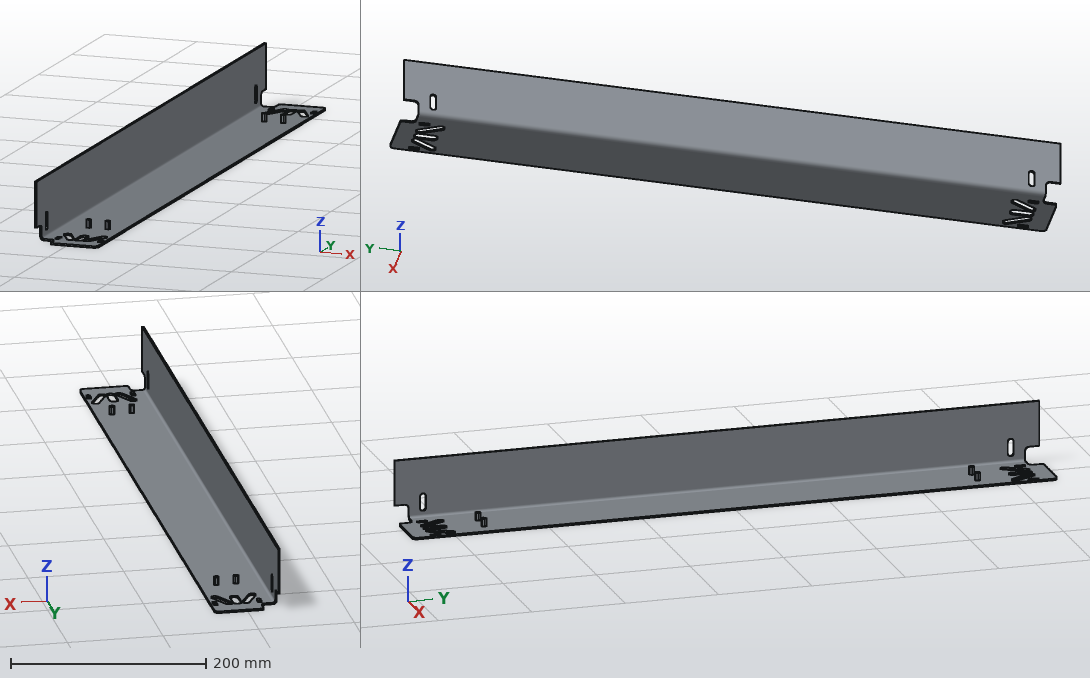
import cadquery as cq
import math

base_width = 67.5
length = 690.0
flange_height = 65.0
thickness = 2.0
bend_inner_radius = 3.0
bend_outer_radius = bend_inner_radius + thickness

notch_reach = 16.5
notch_depth = 15.0
notch_fillet = 5.0
base_corner_radius = 5.0
tongue_corner_radius = 3.0

flange_slot_end_distance = 30.5
flange_slot_width = 6.0
flange_slot_bottom = 8.0
flange_slot_top = 27.0

fan_left = 14.5
fan_right = 65.0
fan_center_x = (fan_left + fan_right) / 2
fan_start = 19.0
center_slot_width = 9.0
center_slot_length = 25.0
slanted_slot_width = 7.5
slanted_slot_reach = 27.5
slanted_slot_angle = 28.0
slanted_slot_near_offset = 9.0
small_slot_width = 4.0
small_slot_length = 11.0
small_slot_offset = (fan_right - fan_left - small_slot_width) / 2

standoff_across_flats = 5.0
standoff_hole_diameter = 3.0
standoff_top = 10.5
standoff_end_distance = 81.0
standoff_spacing = 21.0

half_length = length / 2
ends = (-1, 1)
sides = (-1, 1)


def make_angle():
    """Bent sheet: base on XY, flange rising along its -X edge."""
    return (
        cq.Workplane("XZ", origin=(0, half_length, 0))
        .moveTo(bend_outer_radius, 0)
        .lineTo(base_width, 0)
        .lineTo(base_width, thickness)
        .lineTo(bend_outer_radius, thickness)
        .radiusArc((thickness, bend_outer_radius), bend_inner_radius)
        .lineTo(thickness, flange_height)
        .lineTo(0, flange_height)
        .lineTo(0, bend_outer_radius)
        .radiusArc((bend_outer_radius, 0), -bend_outer_radius)
        .close()
        .extrude(length)
    )


def notch_profile(plane, end):
    """Notch in one sheet: square at the bend, rounded at its inner corner."""
    y_open = end * half_length
    y_inner = end * (half_length - notch_depth)
    y_arc = end * (half_length - notch_depth + notch_fillet)
    return (
        cq.Workplane(plane)
        .polyline([(0, y_inner), (0, y_open), (notch_reach, y_open), (notch_reach, y_arc)])
        .radiusArc((notch_reach - notch_fillet, y_inner), end * notch_fillet)
        .close()
    )


def notch_cutters(end):
    """Cutters for the base and for the flange; both clear the bend."""
    base_cutter = notch_profile("XY", end).extrude(bend_outer_radius)
    flange_plane = cq.Plane(origin=(0, 0, 0), xDir=(0, 0, 1), normal=(-1, 0, 0))
    flange_cutter = notch_profile(flange_plane, end).extrude(-bend_outer_radius)
    return [base_cutter, flange_cutter]


def base_slot(x, distance, width, slot_length, angle, end):
    """Round-ended cutter through the base; distance is from the part's end."""
    return (
        cq.Workplane("XY")
        .slot2D(slot_length, width, 90 + angle)
        .extrude(thickness)
        .translate((x, end * (half_length - distance), 0))
    )


def fan_cutters(end):
    """Centre slot plus a slanted and a small slot on either side."""
    center_distance = fan_start + center_slot_length / 2
    cutters = [base_slot(fan_center_x, center_distance, center_slot_width, center_slot_length, 0, end)]
    tilt = math.radians(slanted_slot_angle)
    axis_length = (slanted_slot_reach - slanted_slot_width) / math.cos(tilt)
    slanted_length = axis_length + slanted_slot_width
    slanted_offset = slanted_slot_near_offset + axis_length * math.sin(tilt) / 2
    slanted_distance = fan_start + slanted_slot_reach / 2
    small_distance = fan_start + small_slot_length / 2
    for side in sides:
        slanted_x = fan_center_x + side * slanted_offset
        small_x = fan_center_x + side * small_slot_offset
        angle = side * end * slanted_slot_angle
        cutters.append(base_slot(slanted_x, slanted_distance, slanted_slot_width, slanted_length, angle, end))
        cutters.append(base_slot(small_x, small_distance, small_slot_width, small_slot_length, 0, end))
    return cutters


def flange_slot(end):
    """Upright round-ended cutter through the flange."""
    return (
        cq.Workplane("YZ")
        .center(end * (half_length - flange_slot_end_distance), (flange_slot_bottom + flange_slot_top) / 2)
        .slot2D(flange_slot_top - flange_slot_bottom, flange_slot_width, 90)
        .extrude(thickness)
    )


def standoff(side, end):
    """Hexagonal tube rising from the base, with two corners pointing along Y."""
    x = fan_center_x + side * standoff_spacing / 2
    y = end * (half_length - standoff_end_distance)
    return (
        cq.Workplane("XY", origin=(x, y, thickness))
        .transformed(rotate=(0, 0, 90))
        .polygon(6, standoff_across_flats, circumscribed=True)
        .circle(standoff_hole_diameter / 2)
        .extrude(standoff_top - thickness)
    )


result = make_angle().edges("|Z and >X").fillet(base_corner_radius)
for end in ends:
    for cutter in notch_cutters(end) + fan_cutters(end) + [flange_slot(end)]:
        result = result.cut(cutter)

notch_corners = cq.selectors.BoxSelector(
    (notch_reach - thickness, -length, -thickness), (notch_reach + thickness, length, thickness)
)
result = result.edges("|Z").edges(notch_corners).edges("<Y or >Y").fillet(tongue_corner_radius)

for end in ends:
    for side in sides:
        result = result.union(standoff(side, end))